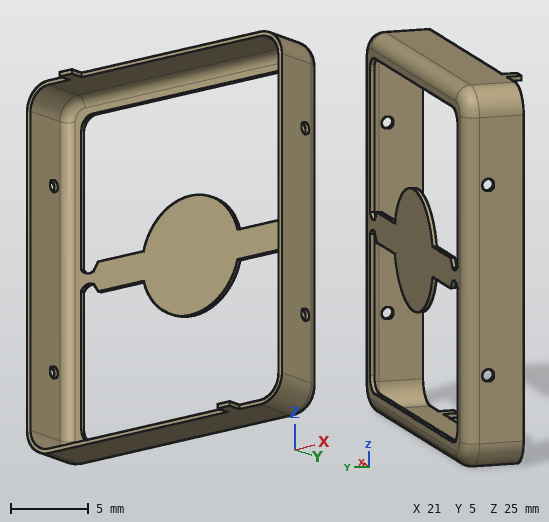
import cadquery as cq

width = 21.0
height = 25.0
body_depth = 4.0
wall = 0.3
corner_radius = 1.8
back_round = 1.0

rim_width = 1.5
window_width = width - 2 * rim_width
window_height = height - 2 * rim_width
window_radius = 1.0

disc_radius = 4.0
bar_half_height = 1.0
bar_half_length = 7.6
neck_half_height = 0.35
neck_root_half_height = 0.72
neck_inset = 0.62
neck_arc_end_inset = 1.0
neck_arc_end_half_height = 0.42

tab_width = 1.0
tab_length = 1.0
tab_side_offset = 3.5

hole_diameter = 0.8
hole_spacing = 12.5
hole_from_back = 1.6


def back_plane(y):
    """XZ sketch plane at the given Y; extrusion goes toward +Y."""
    return cq.Workplane(cq.Plane(origin=(0, y, 0), xDir=(1, 0, 0), normal=(0, -1, 0)))


def rounded_block(inset, depth, edge_round):
    """Block from the open edge at Y = 0, with rounded corners and a rounded back."""
    block = back_plane(0).rect(width - 2 * inset, height - 2 * inset).extrude(-depth)
    block = block.edges("|Y").fillet(corner_radius - inset)
    return block.faces(">Y").edges().fillet(edge_round)


def tray():
    outside = rounded_block(0, body_depth, back_round)
    inside = rounded_block(wall, body_depth - wall, back_round - wall)
    return outside.cut(inside)


def window():
    block = back_plane(body_depth - wall).rect(window_width, window_height).extrude(-wall)
    return block.edges("|Y").fillet(window_radius)


def disc_and_bar():
    edge = window_width / 2
    neck_x = edge - neck_inset
    arc_end_x = edge - neck_arc_end_inset
    plate = back_plane(body_depth - wall)
    bar = (
        plate.moveTo(-edge, neck_root_half_height)
        .threePointArc((-neck_x, neck_half_height), (-arc_end_x, neck_arc_end_half_height))
        .lineTo(-bar_half_length, bar_half_height)
        .lineTo(bar_half_length, bar_half_height)
        .lineTo(arc_end_x, neck_arc_end_half_height)
        .threePointArc((neck_x, neck_half_height), (edge, neck_root_half_height))
        .lineTo(edge, -neck_root_half_height)
        .threePointArc((neck_x, -neck_half_height), (arc_end_x, -neck_arc_end_half_height))
        .lineTo(bar_half_length, -bar_half_height)
        .lineTo(-bar_half_length, -bar_half_height)
        .lineTo(-arc_end_x, -neck_arc_end_half_height)
        .threePointArc((-neck_x, -neck_half_height), (-edge, -neck_root_half_height))
        .close()
        .extrude(-wall)
    )
    return bar.union(plate.circle(disc_radius).extrude(-wall))


def tabs():
    """Two diagonally opposite tabs: top left and bottom right."""
    x = width / 2 - tab_side_offset - tab_width / 2
    z = height / 2 - wall / 2
    return back_plane(0).pushPoints([(-x, z), (x, -z)]).rect(tab_width, wall).extrude(tab_length)


def pin_holes():
    y = body_depth - hole_from_back
    centers = [(y, -hole_spacing / 2), (y, hole_spacing / 2)]
    return cq.Workplane("YZ").pushPoints(centers).circle(hole_diameter / 2).extrude(width / 2, both=True)


opening = window().cut(disc_and_bar())
result = tray().cut(opening).union(tabs()).cut(pin_holes())